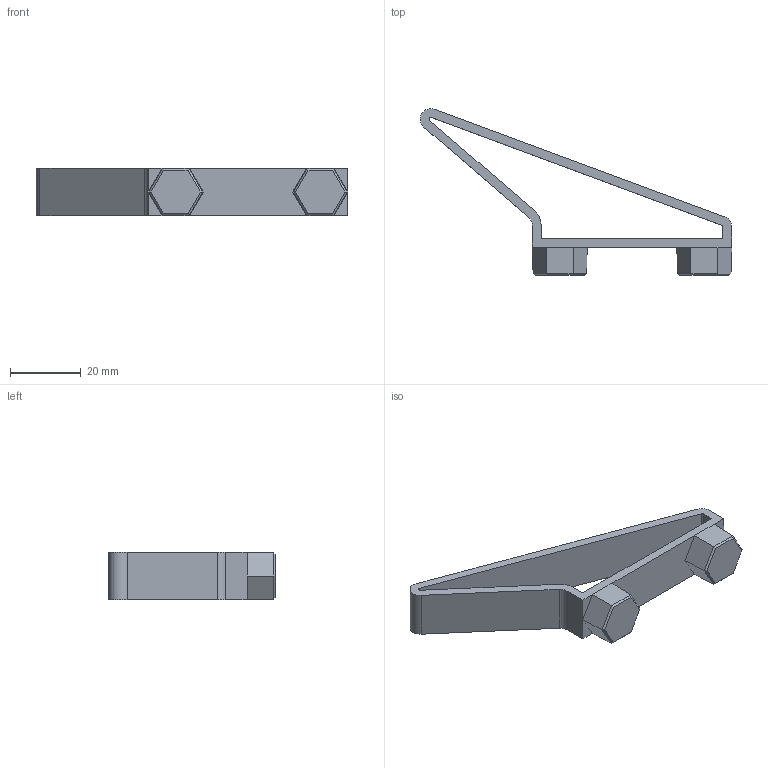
import cadquery as cq
import math

strip_width = 13.48
wall = 2.5
base_length = 56.5
bend_radius = 3.0
tip_left = -31.74
tip_top = 39.26
strut_bend_height = 6.2
right_bend_height = 5.75

stud_length = 8.0
stud_chamfer = 0.5
stud_flats = strip_width
stud_draft = 1.5


def on_bend(center, angle):
    """Point on a bend circle at the given angle in radians."""
    return (
        center[0] + bend_radius * math.cos(angle),
        center[1] + bend_radius * math.sin(angle),
    )


def loop_outline():
    """Outer outline of the loop: straight legs tangent to equal bend circles."""
    tip = (tip_left + bend_radius, tip_top - bend_radius)
    right_bend = (base_length - bend_radius, right_bend_height)
    strut_bend = (-bend_radius, strut_bend_height)

    top_normal = math.atan2(tip[1] - right_bend[1], tip[0] - right_bend[0]) - math.pi / 2

    run = strut_bend[0] - tip[0]
    rise = strut_bend[1] - tip[1]
    strut_tilt = math.acos(2 * bend_radius / math.hypot(run, rise))
    strut_normal = math.atan2(rise, run) - strut_tilt
    strut_bend_angle = strut_normal + math.pi

    tip_middle = (top_normal + strut_normal + 2 * math.pi) / 2
    return (
        cq.Workplane("XY")
        .moveTo(0, 0)
        .lineTo(base_length, 0)
        .lineTo(base_length, right_bend_height)
        .threePointArc(on_bend(right_bend, top_normal / 2), on_bend(right_bend, top_normal))
        .lineTo(*on_bend(tip, top_normal))
        .threePointArc(on_bend(tip, tip_middle), on_bend(tip, strut_normal))
        .lineTo(*on_bend(strut_bend, strut_bend_angle))
        .threePointArc(on_bend(strut_bend, strut_bend_angle / 2), on_bend(strut_bend, 0))
        .close()
    )


def strip_loop():
    """Closed strip of constant wall thickness, centered on Z = 0."""
    outer = loop_outline().extrude(strip_width / 2, both=True)
    opening = loop_outline().offset2D(-wall).extrude(strip_width / 2, both=True)
    return outer.cut(opening)


def stud(center_x):
    """Drafted hexagonal stud pointing to -Y, chamfered around its end face."""
    return (
        cq.Workplane("XZ")
        .center(center_x, 0)
        .polygon(6, stud_corners)
        .extrude(stud_length, taper=stud_draft)
        .faces("<Y")
        .chamfer(stud_chamfer)
    )


stud_corners = stud_flats / math.cos(math.pi / 6)
stud_centers = [stud_corners / 2, base_length - stud_corners / 2]

result = strip_loop()
for stud_center in stud_centers:
    result = result.union(stud(stud_center))